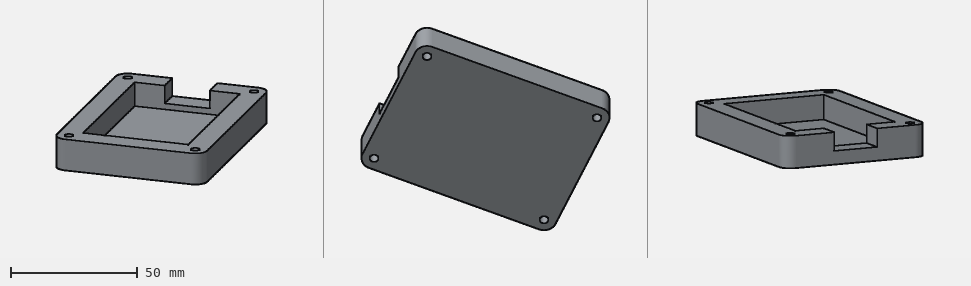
import cadquery as cq

length = 83.0
width = 62.5
height = 13.0
corner_radius = 5.0

pocket_width = 43.7
pocket_length = 64.0
pocket_depth = 10.0

notch_width = 18.75
notch_depth = 7.5

hole_diameter = 3.4
hole_spacing_x = width - 2 * corner_radius
hole_spacing_y = length - 2 * corner_radius


def make_block():
    block = cq.Workplane("XY").box(width, length, height, centered=(True, True, False))
    return block.edges("|Z").fillet(corner_radius)


def cut_pocket(body):
    return body.faces(">Z").workplane().rect(pocket_width, pocket_length).cutBlind(-pocket_depth)


def cut_notch(body):
    cutter = (
        cq.Workplane("XY")
        .box(notch_width, length / 2, notch_depth, centered=(True, False, False))
        .translate((0, 0, height - notch_depth))
    )
    return body.cut(cutter)


def drill_corner_holes(body):
    drills = (
        cq.Workplane("XY")
        .rect(hole_spacing_x, hole_spacing_y, forConstruction=True)
        .vertices()
        .circle(hole_diameter / 2)
        .extrude(height)
    )
    return body.cut(drills)


result = drill_corner_holes(cut_notch(cut_pocket(make_block())))